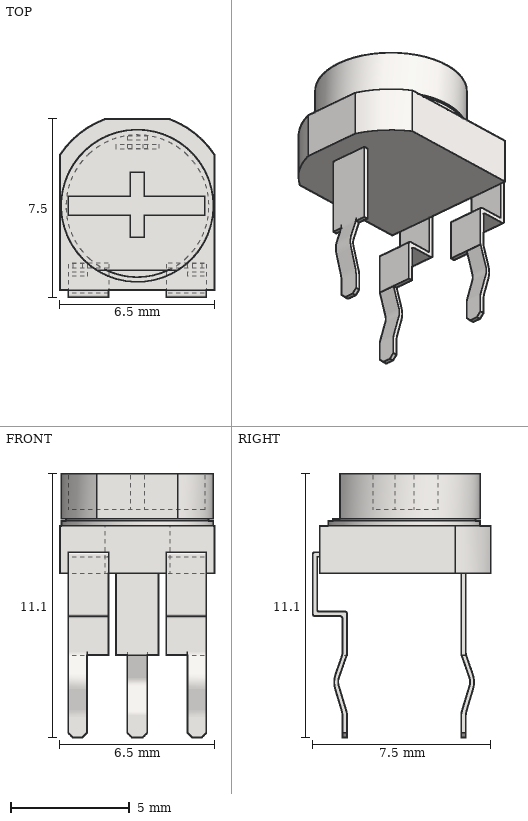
import cadquery as cq
import math


body_width = 6.5
body_front = -3.55
body_back = 3.65
body_corner_radius = 3.9
body_bottom = 6.9
body_top = 8.9

total_height = 11.1
knob_diameter = 6.4
neck_diameter = 6.0
flange_top = 9.11
neck_top = 9.2
knob_flat_y = -2.71

slot_depth = 1.5
long_slot_length = 5.73
long_slot_width = 0.8
long_slot_x = -0.03
short_slot_length = 2.73
short_slot_width = 0.6
short_slot_y = 0.04

sheet = 0.2
pin_row_spacing = 5.0
plate_bottom = 3.47
tip_chamfer = 0.2
pin_overlap = 0.4
front_plate_width = 1.7
front_pin_width = 0.8
front_outer_x = 2.91
back_plate_width = 1.8
back_pin_width = 0.84

kink_start = 3.51
kink_peak = 2.35
kink_end = 1.02
kink_offset = 0.4
tight_bend = 0.5
wide_bend = 1.0

arm_top = 7.8
arm_front = -3.85
jog_bottom = 5.11
edge_radius = 0.1
inner_radius = 0.05


def box(x_range, y_range, z_range):
    """Block between the given limits."""
    (x0, x1), (y0, y1), (z0, z1) = x_range, y_range, z_range
    return cq.Workplane("XY").box(x1 - x0, y1 - y0, z1 - z0, centered=False).translate((x0, y0, z0))


def disc(diameter, bottom, top):
    """Cylinder on the knob axis."""
    return cq.Workplane("XY").workplane(offset=bottom).circle(diameter / 2).extrude(top - bottom)


def rounded_prism(corners, x_start, x_end):
    """Extrude along X a closed outline given as (y, z, corner radius); the first corner is sharp."""
    path = cq.Workplane("YZ").workplane(offset=x_start)
    for i, (y, z, radius) in enumerate(corners):
        corner = cq.Vector(y, z)
        if radius == 0:
            path = path.moveTo(y, z) if i == 0 else path.lineTo(y, z)
            continue
        before = (cq.Vector(*corners[i - 1][:2]) - corner).normalized()
        after = (cq.Vector(*corners[(i + 1) % len(corners)][:2]) - corner).normalized()
        half_angle = before.getAngle(after) / 2
        tangent_length = radius / math.tan(half_angle)
        arc_depth = radius / math.sin(half_angle) - radius
        arc_start = corner + before * tangent_length
        arc_middle = corner + (before + after).normalized() * arc_depth
        arc_end = corner + after * tangent_length
        path = path.lineTo(arc_start.x, arc_start.y)
        path = path.threePointArc((arc_middle.x, arc_middle.y), (arc_end.x, arc_end.y))
    return path.close().extrude(x_end - x_start)


def make_body():
    """Block with square front corners and back corners that follow a circle around the knob axis."""
    half_width = body_width / 2
    width = (-half_width, half_width)
    height = (body_bottom, body_top)
    front_half = box(width, (body_front, 0), height)
    back_half = box(width, (0, body_back), height)
    rounded_back = back_half.intersect(disc(2 * body_corner_radius, body_bottom, body_top))
    return front_half.union(rounded_back)


def slot(center_x, center_y, length_x, length_y):
    """Rectangular slot volume reaching down from the knob top."""
    floor = cq.Workplane("XY").workplane(offset=total_height - slot_depth)
    return floor.center(center_x, center_y).rect(length_x, length_y).extrude(slot_depth)


def make_knob():
    """Flange, neck and knob with a front flat and a cross slot."""
    radius = knob_diameter / 2
    flat = box((-radius, radius), (-radius, knob_flat_y), (neck_top, total_height))
    knob = disc(knob_diameter, neck_top, total_height).cut(flat)
    knob = knob.cut(slot(long_slot_x, 0, long_slot_length, long_slot_width))
    knob = knob.cut(slot(0, short_slot_y, short_slot_width, short_slot_length))
    flange = disc(knob_diameter, body_top, flange_top)
    neck = disc(neck_diameter, flange_top, neck_top)
    return flange.union(neck).union(knob)


def make_pin(x_start, width, row_y, outward):
    """Narrow kinked pin; outward is the Y direction (+1 or -1) of the kink."""
    outer = row_y + outward * sheet / 2
    inner = row_y - outward * sheet / 2
    shift = outward * kink_offset
    root = plate_bottom + pin_overlap
    corners = [
        (outer, root, 0),
        (outer, kink_start, tight_bend),
        (outer + shift, kink_peak, wide_bend),
        (outer, kink_end, wide_bend),
        (outer, 0, 0),
        (inner, 0, 0),
        (inner, kink_end, tight_bend),
        (inner + shift, kink_peak, tight_bend),
        (inner, kink_start, tight_bend),
        (inner, root, 0),
    ]
    pin = rounded_prism(corners, x_start, x_start + width)
    return pin.faces("<Z").edges("|Y").chamfer(tip_chamfer)


def make_back_leg():
    """Straight plate under the body with a centred pin."""
    row_y = pin_row_spacing / 2
    plate = box(
        (-back_plate_width / 2, back_plate_width / 2),
        (row_y - sheet / 2, row_y + sheet / 2),
        (plate_bottom, body_bottom),
    )
    return plate.union(make_pin(-back_pin_width / 2, back_pin_width, row_y, 1))


def make_front_leg():
    """Left front leg: Z-bent plate out of the body front, pin flush with its outer side."""
    row_y = -pin_row_spacing / 2
    plate_front = row_y - sheet / 2
    plate_back = row_y + sheet / 2
    corners = [
        (body_front, arm_top, 0),
        (arm_front, arm_top, edge_radius),
        (arm_front, jog_bottom, edge_radius),
        (plate_front, jog_bottom, edge_radius),
        (plate_front, plate_bottom, 0),
        (plate_back, plate_bottom, 0),
        (plate_back, jog_bottom + sheet, edge_radius),
        (arm_front + sheet, jog_bottom + sheet, inner_radius),
        (arm_front + sheet, arm_top - sheet, 0),
        (body_front, arm_top - sheet, 0),
    ]
    plate = rounded_prism(corners, -front_outer_x, -front_outer_x + front_plate_width)
    return plate.union(make_pin(-front_outer_x, front_pin_width, row_y, -1))


front_leg = make_front_leg()
result = make_body().union(make_knob()).union(make_back_leg())
result = result.union(front_leg).union(front_leg.mirror("YZ"))